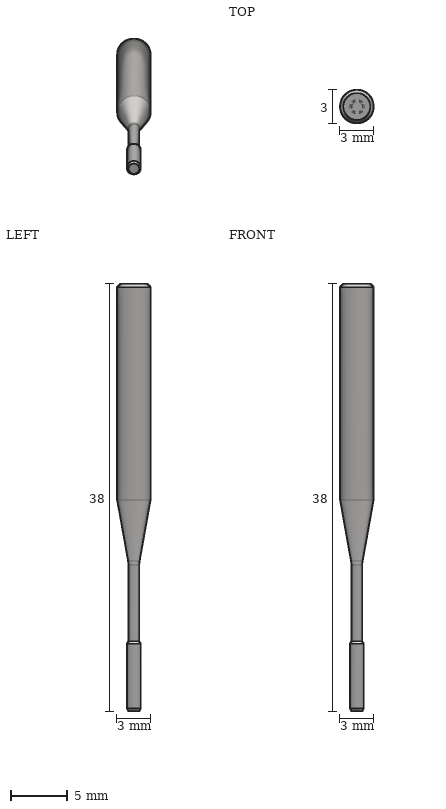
import cadquery as cq

total_length = 38.0

shank_radius = 3.0 / 2
neck_radius = 1.0 / 2
cutter_radius = 1.25 / 2

cutter_length = 6.0
neck_step_height = 0.23
neck_top = 13.05
cone_bottom = 13.38
cone_top = 18.8

blend_height = cone_bottom - neck_top
cone_height = cone_top - cone_bottom
cone_end_radius = neck_radius + (shank_radius - neck_radius) * blend_height / (2 * cone_height + blend_height)

shank_chamfer = 0.3
tip_chamfer_width = 0.15
tip_chamfer_height = 0.3


def make_shank():
    """Shank with chamfered end, tapering to a neck that flares out to the cutter."""
    return (
        cq.Workplane("XZ")
        .moveTo(0, cutter_length)
        .lineTo(cutter_radius, cutter_length)
        .lineTo(neck_radius, cutter_length + neck_step_height)
        .lineTo(neck_radius, neck_top)
        .tangentArcPoint((cone_end_radius, cone_bottom), relative=False)
        .lineTo(shank_radius, cone_top)
        .lineTo(shank_radius, total_length - shank_chamfer)
        .lineTo(shank_radius - shank_chamfer, total_length)
        .lineTo(0, total_length)
        .close()
        .revolve(360, (0, 0), (0, 1))
    )


def make_cutter():
    """Cylindrical cutting head with a chamfered tip, seated on the neck."""
    return (
        cq.Workplane("XZ")
        .lineTo(cutter_radius - tip_chamfer_width, 0)
        .lineTo(cutter_radius, tip_chamfer_height)
        .lineTo(cutter_radius, cutter_length)
        .lineTo(0, cutter_length)
        .close()
        .revolve(360, (0, 0), (0, 1))
    )


shank = make_shank()
cutter = make_cutter()

result = cq.Compound.makeCompound([shank.val(), cutter.val()])